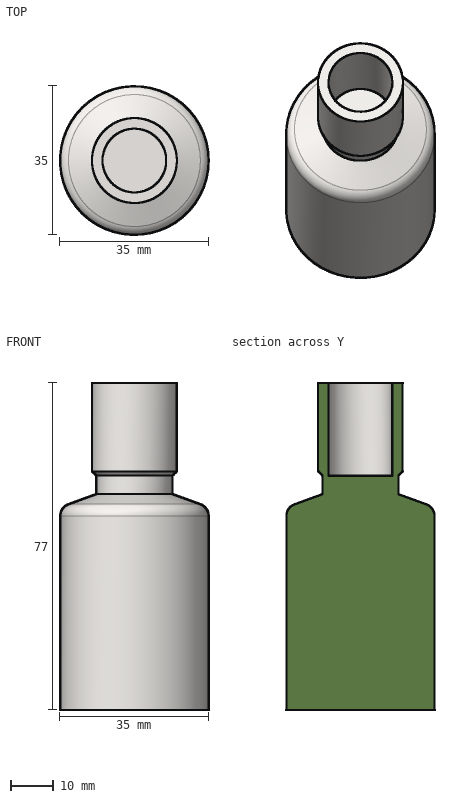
import cadquery as cq
import math

total_height = 77.0
spout_bottom = 55.2
body_height = 45.65

body_diameter = 35.0
neck_diameter = 18.0
spout_diameter = 20.0
bore_diameter = 15.0

shoulder_round = 3.0
cone_angle = math.radians(20)

body_radius = body_diameter / 2
neck_radius = neck_diameter / 2
spout_radius = spout_diameter / 2
spout_chamfer = spout_radius - neck_radius
bore_depth = total_height - spout_bottom

round_center_radius = body_radius - shoulder_round


def point_on_round(angle):
    """Radius and height on the rounded edge, angle measured up from horizontal."""
    return (
        round_center_radius + shoulder_round * math.cos(angle),
        body_height + shoulder_round * math.sin(angle),
    )


round_end_angle = math.pi / 2 - cone_angle
shoulder_radius, shoulder_height = point_on_round(round_end_angle)
neck_bottom = shoulder_height + (shoulder_radius - neck_radius) * math.tan(cone_angle)


def make_bottle():
    """Revolve the outer half profile about Z."""
    return (
        cq.Workplane("XZ")
        .lineTo(body_radius, 0)
        .lineTo(body_radius, body_height)
        .threePointArc(point_on_round(round_end_angle / 2), (shoulder_radius, shoulder_height))
        .lineTo(neck_radius, neck_bottom)
        .lineTo(neck_radius, spout_bottom)
        .lineTo(spout_radius, spout_bottom + spout_chamfer)
        .lineTo(spout_radius, total_height)
        .lineTo(0, total_height)
        .close()
        .revolve(360, (0, 0, 0), (0, 1, 0))
    )


def cut_bore(bottle):
    """Cut the flat-bottomed bore through the length of the spout."""
    return bottle.faces(">Z").workplane().hole(bore_diameter, bore_depth)


result = cut_bore(make_bottle())